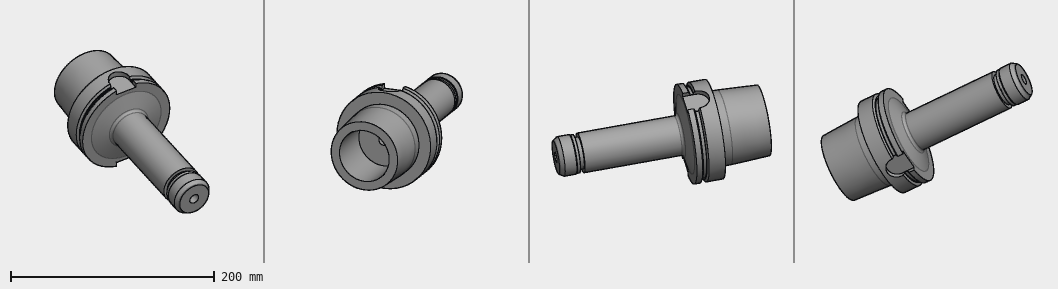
import cadquery as cq
import math

length = 210.0

shank_end_radius = 35.5
collar_radius = 37.5
taper_end = 40.0
bore_radius = 26.5
through_hole_radius = 5.0

flange_start = 50.0
flange_end = 79.0
flange_radius = 50.0
groove_start = 66.5
groove_end = 73.0
groove_wall_run = 1.5
groove_chamfer_radius = 47.2
groove_radius = 45.8

cone_radius = 40.0
neck_radius = 20.0
blend_radius = 3.2
blend_end = 87.0

tip_groove_start = 185.0
tip_groove_end = 189.5
tip_groove_radius = 16.2
land_radius = 19.3
land_end = 192.5
land_chamfer = 0.8
nose_start = 205.2
nose_radius = 17.2
nose_edge_chamfer = 0.6

slot_width = 22.0
slot_start = 54.8
slot_floor = 43.9

bore_depth = flange_start


def blend_points():
    """Cone-side end and middle of the blend, tangent to both cone and neck."""
    center_radius = neck_radius + blend_radius
    run = blend_end - flange_end
    rise = cone_radius - center_radius
    distance = math.hypot(run, rise)
    angle = math.atan2(rise, -run) + math.acos(blend_radius / distance)
    middle_angle = (angle + 1.5 * math.pi) / 2

    def on_blend(direction):
        return (
            blend_end + blend_radius * math.cos(direction),
            center_radius + blend_radius * math.sin(direction),
        )

    return on_blend(angle), on_blend(middle_angle)


def turned_body():
    blend_start, blend_middle = blend_points()
    profile = (
        cq.Workplane("XY")
        .moveTo(0, 0)
        .lineTo(0, shank_end_radius)
        .lineTo(taper_end, collar_radius)
        .lineTo(flange_start, collar_radius)
        .lineTo(flange_start, flange_radius)
        .lineTo(groove_start, flange_radius)
        .lineTo(groove_start + groove_wall_run, groove_chamfer_radius)
        .lineTo(groove_start + groove_wall_run, groove_radius)
        .lineTo(groove_end - groove_wall_run, groove_radius)
        .lineTo(groove_end - groove_wall_run, groove_chamfer_radius)
        .lineTo(groove_end, flange_radius)
        .lineTo(flange_end, flange_radius)
        .lineTo(flange_end, cone_radius)
        .lineTo(*blend_start)
        .threePointArc(blend_middle, (blend_end, neck_radius))
        .lineTo(tip_groove_start, neck_radius)
        .lineTo(tip_groove_start, tip_groove_radius)
        .lineTo(tip_groove_end, tip_groove_radius)
        .lineTo(tip_groove_end, land_radius)
        .lineTo(land_end, land_radius)
        .lineTo(land_end + land_chamfer, neck_radius)
        .lineTo(nose_start, neck_radius)
        .lineTo(length - nose_edge_chamfer, nose_radius)
        .lineTo(length, nose_radius - nose_edge_chamfer)
        .lineTo(length, 0)
        .close()
    )
    return profile.revolve(360, (0, 0, 0), (1, 0, 0))


def axial_hole(radius, depth):
    return cq.Workplane("YZ").circle(radius).extrude(depth)


def drive_slot(side):
    """Flat-floored slot, round at the shank end and open at the neck end."""
    slot_radius = slot_width / 2
    arc_center = slot_start + slot_radius
    return (
        cq.Workplane("XY", origin=(0, 0, side * slot_floor))
        .moveTo(flange_end, -slot_radius)
        .lineTo(arc_center, -slot_radius)
        .threePointArc((slot_start, 0), (arc_center, slot_radius))
        .lineTo(flange_end, slot_radius)
        .close()
        .extrude(side * flange_radius)
    )


result = turned_body()
result = result.cut(axial_hole(bore_radius, bore_depth))
result = result.cut(axial_hole(through_hole_radius, length))
for side in (1, -1):
    result = result.cut(drive_slot(side))